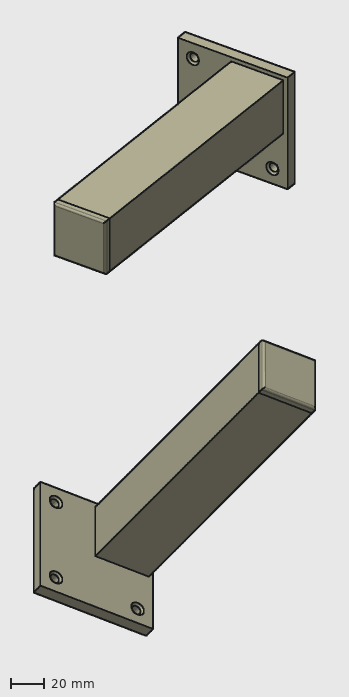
import cadquery as cq

plate_side = 80.0
plate_thickness = 8.0

total_length = 200.0
leg_side = 38.0
leg_inset = 3.0
cap_thickness = 5.0
cap_edge_radius = 1.5

hole_inset = 11.0
hole_diameter = 6.0
countersink_diameter = 9.0
countersink_angle = 90.0

plate_front = -plate_thickness
cap_back = -(total_length - cap_thickness)
leg_length = plate_front - cap_back
leg_center = plate_side / 2 - leg_inset - leg_side / 2
hole_offset = plate_side / 2 - hole_inset
hole_centers = [
    (-hole_offset, hole_offset),
    (-hole_offset, -hole_offset),
    (hole_offset, -hole_offset),
]


def square_bar(side, center, start_y, length):
    """Square bar centred at X = Z = center, running toward -Y from start_y."""
    return (
        cq.Workplane("XZ", origin=(0, start_y, 0))
        .center(center, center)
        .rect(side, side)
        .extrude(length)
    )


def make_bracket():
    """Drilled mounting plate with the leg joined to its front face."""
    plate = square_bar(plate_side, 0, 0, plate_thickness)
    plate = (
        plate.faces("<Y")
        .workplane(origin=(0, plate_front, 0))
        .pushPoints(hole_centers)
        .cskHole(hole_diameter, countersink_diameter, countersink_angle)
    )
    leg = square_bar(leg_side, leg_center, plate_front, leg_length)
    return plate.union(leg)


def make_end_cap():
    """Cap flush with the leg's sides, rounded around its outer face."""
    cap = square_bar(leg_side, leg_center, cap_back, cap_thickness)
    return cap.faces("<Y").edges().fillet(cap_edge_radius)


bracket = make_bracket()
end_cap = make_end_cap()

result = cq.Compound.makeCompound([bracket.val(), end_cap.val()])